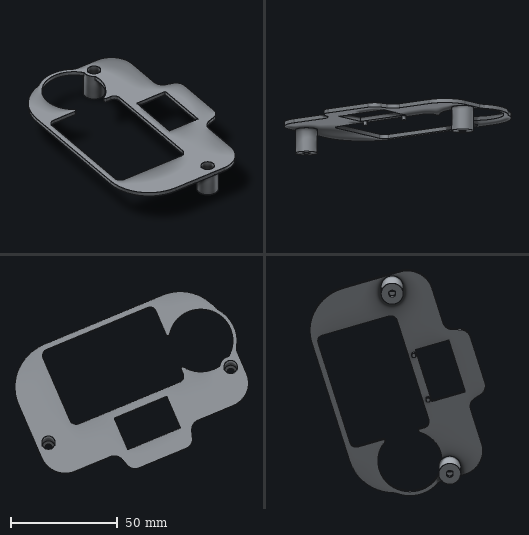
import cadquery as cq
import math

plate_width = 104.5
plate_depth = 61.9
plate_thickness = 2.0
upper_corner_radius = 12.0
lower_corner_radius = 22.0
plate_middle_x = plate_width / 2

hump_height = 10.2
hump_top_width = 31.3
hump_base_width = 37.6
hump_fillet = 5.0

joystick_x = 13.7
joystick_y = 27.2
joystick_radius = 15.0
joystick_rim_width = 2.0
rim_blend_radius = 5.0
rim_radius = joystick_radius + joystick_rim_width

keypad_left = 27.6
keypad_bottom = 2.9
keypad_width = 57.5
keypad_depth = 38.6
keypad_corner_radius = 3.0
horn_tip_radius = 0.9

display_width = 26.6
display_depth = 16.3
display_bottom = plate_depth - display_depth

post_diameter = 10.3
post_bottom_z = -13.3
post_y = 44.3
post_spacing = 92.9
post_centers = [(plate_middle_x + side * post_spacing / 2, post_y) for side in (-1, 1)]
screw_diameter = 3.2
screw_head_diameter = 6.3
post_floor_thickness = plate_thickness
screw_head_depth = -post_bottom_z - post_floor_thickness

peg_diameter = 2.0
peg_length = 2.0
peg_spacing = 23.0
peg_centers = [(plate_middle_x + side * peg_spacing / 2, post_y) for side in (-1, 1)]


def slab(outline):
    """Extrude a closed outline through the plate thickness."""
    return outline.extrude(-plate_thickness)


def cylinders(centers, diameter, top_z, bottom_z):
    """Make vertical cylinders between two heights."""
    profile = cq.Workplane("XY", origin=(0, 0, top_z)).pushPoints(centers).circle(diameter / 2)
    return profile.extrude(bottom_z - top_z)


def vertical_edge_at(x, y):
    """Select the edge through the plate thickness that passes through (x, y)."""
    reach = 0.1
    return cq.selectors.BoxSelector(
        (x - reach, y - reach, -plate_thickness), (x + reach, y + reach, 0)
    )


def fillet_corners(body, corners, radius):
    """Round the vertical edges at the listed corners."""
    for x, y in corners:
        body = body.edges("|Z").edges(vertical_edge_at(x, y)).fillet(radius)
    return body


def rim_upper_junction():
    """Find where the rim circle crosses the straight left edge of the plate."""
    return 0, joystick_y + math.sqrt(rim_radius**2 - joystick_x**2)


def rim_lower_junction():
    """Find where the rim circle crosses the lower-left corner arc of the plate."""
    to_arc_x = lower_corner_radius - joystick_x
    to_arc_y = lower_corner_radius - joystick_y
    span = math.hypot(to_arc_x, to_arc_y)
    along = (span**2 + rim_radius**2 - lower_corner_radius**2) / (2 * span)
    across = math.sqrt(rim_radius**2 - along**2)
    x = joystick_x + (along * to_arc_x + across * to_arc_y) / span
    y = joystick_y + (along * to_arc_y - across * to_arc_x) / span
    return x, y


def make_plate():
    lower_corners = [(0, 0), (plate_width, 0)]
    upper_corners = [(plate_width, plate_depth), (0, plate_depth)]
    hump_top_y = plate_depth + hump_height
    hump_corners = [
        (plate_middle_x + hump_base_width / 2, plate_depth),
        (plate_middle_x + hump_top_width / 2, hump_top_y),
        (plate_middle_x - hump_top_width / 2, hump_top_y),
        (plate_middle_x - hump_base_width / 2, plate_depth),
    ]
    outline = lower_corners + upper_corners[:1] + hump_corners + upper_corners[1:]
    body = slab(cq.Workplane("XY").polyline(outline).close())
    body = fillet_corners(body, lower_corners, lower_corner_radius)
    body = fillet_corners(body, upper_corners, upper_corner_radius)
    body = fillet_corners(body, hump_corners, hump_fillet)
    rim = slab(cq.Workplane("XY").center(joystick_x, joystick_y).circle(rim_radius))
    body = body.union(rim)
    return fillet_corners(body, [rim_upper_junction(), rim_lower_junction()], rim_blend_radius)


def make_controls_opening():
    keypad = slab(
        cq.Workplane("XY")
        .center(keypad_left, keypad_bottom)
        .rect(keypad_width, keypad_depth, centered=False)
    )
    keypad = keypad.edges("|Z").fillet(keypad_corner_radius)
    joystick = slab(cq.Workplane("XY").center(joystick_x, joystick_y).circle(joystick_radius))
    opening = keypad.union(joystick)
    horn_reach = math.sqrt(joystick_radius**2 - (keypad_left - joystick_x) ** 2)
    horn_tips = [(keypad_left, joystick_y + side * horn_reach) for side in (-1, 1)]
    return fillet_corners(opening, horn_tips, horn_tip_radius)


def make_display_window():
    return slab(
        cq.Workplane("XY")
        .center(plate_middle_x, display_bottom + display_depth / 2)
        .rect(display_width, display_depth)
    )


result = make_plate().cut(make_controls_opening()).cut(make_display_window())
result = result.union(cylinders(post_centers, post_diameter, 0, post_bottom_z))
peg_bottom_z = -plate_thickness - peg_length
result = result.union(cylinders(peg_centers, peg_diameter, -plate_thickness, peg_bottom_z))
result = result.cut(cylinders(post_centers, screw_head_diameter, 0, -screw_head_depth))
result = result.cut(cylinders(post_centers, screw_diameter, 0, post_bottom_z))